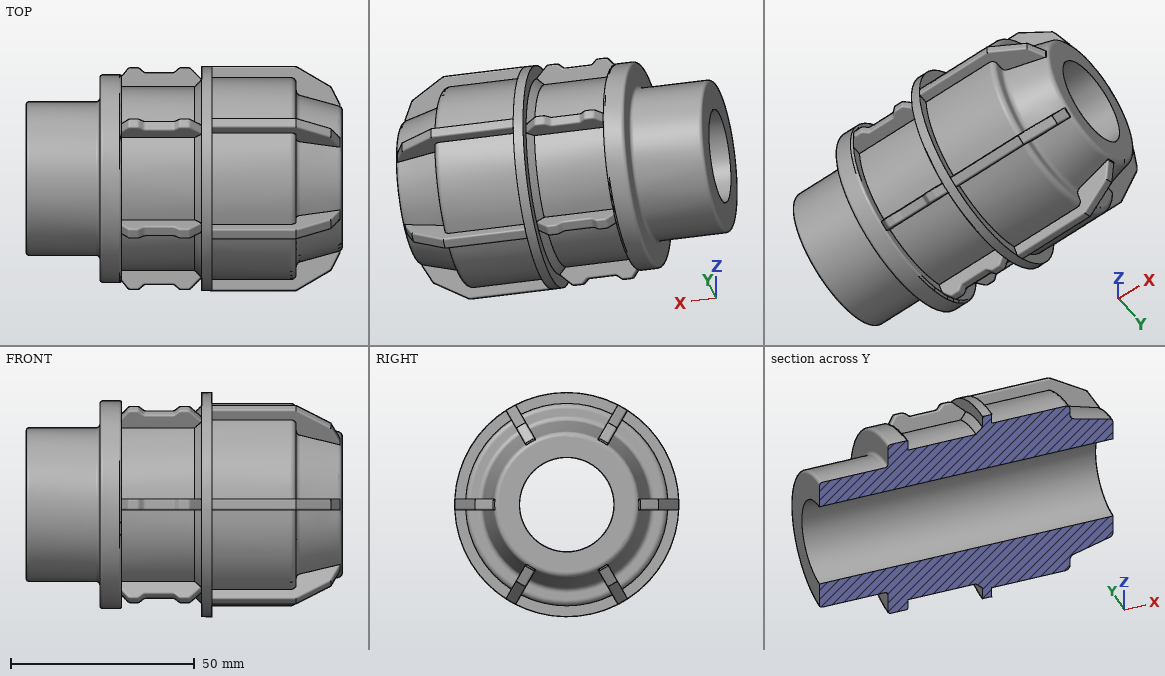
import cadquery as cq

LENGTH = 86.0
BORE_D = 25.6

SPIGOT_D = 41.9
SPIGOT_TIP_FILLET = 0.95
SPIGOT_ROOT_FILLET = 0.95

COLLAR_X = 20.0
COLLAR_WIDTH = 5.9
COLLAR_D = 56.6
COLLAR_FRONT_FILLET = 0.95
COLLAR_BACK_FILLET = 0.6

BARREL_R = 25.0
FLARE = 1.9

FLANGE_X = 47.7
FLANGE_WIDTH = 2.75
FLANGE_D = 61.0

NUT_R = 27.5
NUT_END_X = 73.45
NUT_FILLET = 1.55
NOSE_BASE_R = 23.0
NOSE_TIP_R = 19.5
NOSE_FILLET = 1.5

RIB_COUNT = 6
RIB_WIDTH = 3.0
RIB_EDGE_FILLET = 0.5
RIB_ROOT_R = 17.2

GRIP_START_R = 27.8
GRIP_LAND_X = 27.95
GRIP_LAND_R = 30.2
GRIP_LAND_LENGTH = 2.7
GRIP_STEP_LENGTH = 1.55
GRIP_DIP_R = 28.8
GRIP_DIP_LENGTH = 8.1
GRIP_CORNER_FILLET = 1.0

NUT_RIB_KNEE_X = 82.9
NUT_RIB_KNEE_R = 24.9
NUT_RIB_TIP_X = 85.4
NUT_RIB_TIP_R = 20.0

PICK = 0.1

spigot_r = SPIGOT_D / 2
collar_r = COLLAR_D / 2
collar_end = COLLAR_X + COLLAR_WIDTH
flange_r = FLANGE_D / 2
flange_end = FLANGE_X + FLANGE_WIDTH
flare_r = BARREL_R + FLARE


def rim(x, radius):
    """Selector for the circular edge at one station and radius."""

    def within(reach):
        low = (x - PICK, -reach, -reach)
        high = (x + PICK, reach, reach)
        return cq.selectors.BoxSelector(low, high, boundingbox=True)

    return within(radius + PICK) - within(radius - PICK)


def make_body():
    """Solid of revolution with its rounded rims."""
    outline = [
        (0, 0),
        (0, spigot_r),
        (COLLAR_X, spigot_r),
        (COLLAR_X, collar_r),
        (collar_end, collar_r),
        (collar_end, BARREL_R),
        (FLANGE_X - FLARE, BARREL_R),
        (FLANGE_X, flare_r),
        (FLANGE_X, flange_r),
        (flange_end, flange_r),
        (flange_end, NUT_R),
        (NUT_END_X, NUT_R),
        (NUT_END_X, NOSE_BASE_R),
        (LENGTH, NOSE_TIP_R),
        (LENGTH, 0),
    ]
    body = cq.Workplane("XY").polyline(outline).close().revolve(360, (0, 0, 0), (1, 0, 0))

    rounded_rims = [
        (0, spigot_r, SPIGOT_TIP_FILLET),
        (COLLAR_X, spigot_r, SPIGOT_ROOT_FILLET),
        (COLLAR_X, collar_r, COLLAR_FRONT_FILLET),
        (collar_end, collar_r, COLLAR_BACK_FILLET),
        (NUT_END_X, NUT_R, NUT_FILLET),
        (NUT_END_X, NOSE_BASE_R, NOSE_FILLET),
        (LENGTH, NOSE_TIP_R, NOSE_FILLET),
    ]
    for x, radius, fillet in rounded_rims:
        body = body.edges(rim(x, radius)).fillet(fillet)
    return body


def make_rib(crest):
    """Flat rib along +Y under an (x, radius) crest, rooted inside the body."""
    start_x = crest[0][0]
    end_x = crest[-1][0]
    outline = [(start_x, RIB_ROOT_R)] + crest + [(end_x, RIB_ROOT_R)]
    return cq.Workplane("XY").polyline(outline).close().extrude(RIB_WIDTH / 2, both=True)


def round_crest_edges(rib):
    """Round the long crest edges on both sides of a rib."""
    return rib.faces("<Z or >Z").edges("not (|Y or <Y)").fillet(RIB_EDGE_FILLET)


def make_grip_rib():
    """Rib between the collar and the flange."""
    dip_start = GRIP_LAND_X + GRIP_LAND_LENGTH + GRIP_STEP_LENGTH
    dip_end = dip_start + GRIP_DIP_LENGTH
    second_land = dip_end + GRIP_STEP_LENGTH
    crest = [
        (collar_end, GRIP_START_R),
        (GRIP_LAND_X, GRIP_LAND_R),
        (GRIP_LAND_X + GRIP_LAND_LENGTH, GRIP_LAND_R),
        (dip_start, GRIP_DIP_R),
        (dip_end, GRIP_DIP_R),
        (second_land, GRIP_LAND_R),
        (second_land + GRIP_LAND_LENGTH, GRIP_LAND_R),
        (FLANGE_X, flare_r),
    ]
    inner_corners = cq.selectors.BoxSelector(
        (collar_end + PICK, RIB_ROOT_R, -RIB_WIDTH),
        (FLANGE_X - PICK, flange_r, RIB_WIDTH),
    )
    rib = make_rib(crest)
    rib = rib.edges("|Z").edges(inner_corners).fillet(GRIP_CORNER_FILLET)
    return round_crest_edges(rib)


def make_nut_rib():
    """Rib from the flange along the nut and down its nose."""
    crest = [
        (flange_end, flange_r),
        (NUT_END_X, flange_r),
        (NUT_RIB_KNEE_X, NUT_RIB_KNEE_R),
        (NUT_RIB_TIP_X, NUT_RIB_TIP_R),
    ]
    return round_crest_edges(make_rib(crest))


result = make_body()
for rib in (make_grip_rib(), make_nut_rib()):
    for index in range(RIB_COUNT):
        angle = index * 360 / RIB_COUNT
        result = result.union(rib.rotate((0, 0, 0), (1, 0, 0), angle))

bore = cq.Workplane("YZ").circle(BORE_D / 2).extrude(LENGTH)
result = result.cut(bore)